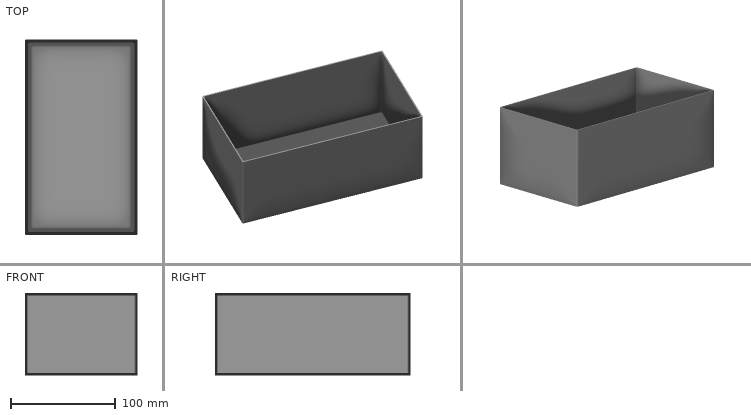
import cadquery as cq

width = 106.3
length = 186.2
height = 77.0
wall = 1.25
floor = wall
corner_radius = 1.5


def rounded_block(size_x, size_y, size_z, radius):
    """Block standing on Z = 0, centred in X and Y, with rounded vertical edges."""
    block = cq.Workplane("XY").box(size_x, size_y, size_z, centered=(True, True, False))
    return block.edges("|Z").fillet(radius)


shell = rounded_block(width, length, height, corner_radius)
cavity = rounded_block(width - 2 * wall, length - 2 * wall, height - floor, corner_radius)
result = shell.cut(cavity.translate((0, 0, floor)))